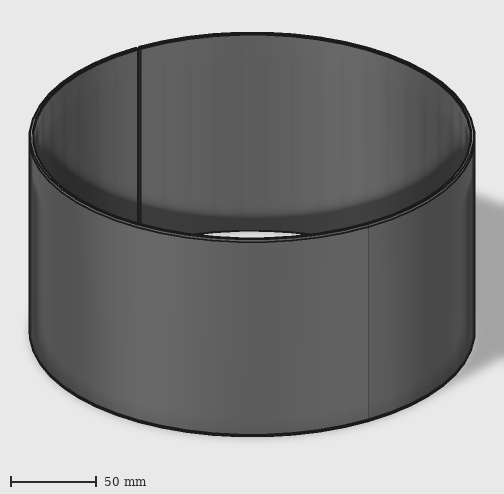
import cadquery as cq

outer_diameter = 260.0
height = 130.0
wall = 2.5
outer_bevel_height = 1.5
outer_bevel_depth = 0.6
inner_chamfer = 0.5
slit_width = 2.0

outer_radius = outer_diameter / 2
inner_radius = outer_radius - wall


def beveled_ring():
    """Thin band, centred on the origin, with its inner and outer rims bevelled."""
    top = height / 2
    outer_bevel_start = top - outer_bevel_height
    inner_chamfer_start = top - inner_chamfer
    rim_outer_radius = outer_radius - outer_bevel_depth
    rim_inner_radius = inner_radius + inner_chamfer
    wall_section = [
        (rim_inner_radius, -top),
        (rim_outer_radius, -top),
        (outer_radius, -outer_bevel_start),
        (outer_radius, outer_bevel_start),
        (rim_outer_radius, top),
        (rim_inner_radius, top),
        (inner_radius, inner_chamfer_start),
        (inner_radius, -inner_chamfer_start),
    ]
    return cq.Workplane("XZ").polyline(wall_section).close().revolve(360, (0, 0, 0), (0, 1, 0))


def slit_cutter():
    """Full-height slit through the -X wall, with one face on the Y = 0 plane."""
    cutter = cq.Workplane("XY").box(outer_radius, slit_width, 2 * height, centered=(True, False, True))
    return cutter.translate((-outer_radius, 0, 0))


result = beveled_ring().cut(slit_cutter())